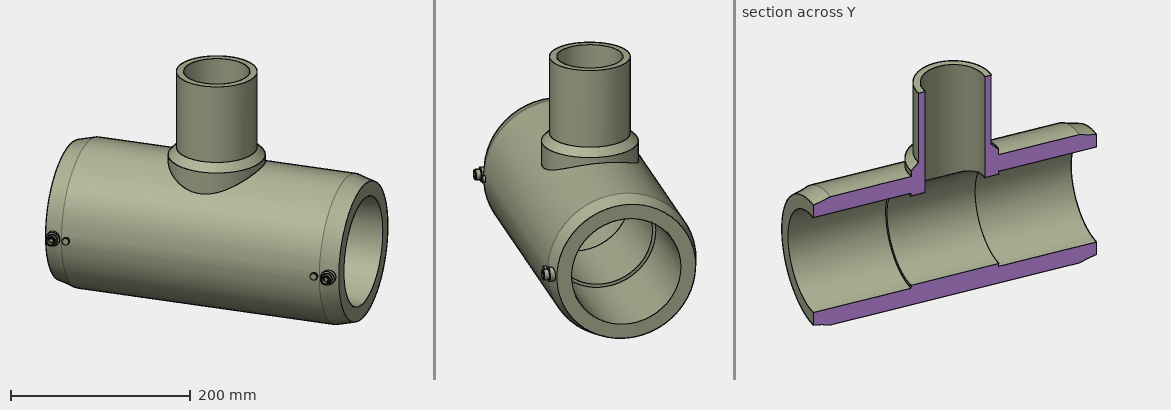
import cadquery as cq
import math

body_length = 347.5
body_diameter = 170.0
taper_length = 21.0
taper_angle = 15.0
socket_diameter = 125.0
bore_diameter = 117.5

branch_top = 192.0
branch_diameter = 90.0
branch_bore_diameter = 73.6
collar_diameter = 108.0
collar_top = 101.0

terminal_end_distance = 11.0
terminal_base_diameter = 16.0
terminal_base_face = 86.0
terminal_neck_diameter = 11.0
terminal_neck_height = 0.6
terminal_diameter = 12.0
terminal_face = 93.1
terminal_chamfer = 1.0
terminal_hole_diameter = 8.0
terminal_hole_depth = 5.0
terminal_pin_diameter = 5.0
terminal_pin_recess = 2.5

indicator_x = 147.0
indicator_diameter = 8.0
indicator_face = 88.0

half_length = body_length / 2
body_radius = body_diameter / 2
end_radius = body_radius - taper_length * math.tan(math.radians(taper_angle))
socket_depth = (body_length - collar_diameter) / 2
collar_chamfer = (collar_diameter - branch_diameter) / 2
terminal_x = half_length - terminal_end_distance
root_radius = (body_diameter + socket_diameter) / 4


def x_cylinder(diameter, x_start, x_end):
    return cq.Workplane("YZ", origin=(x_start, 0, 0)).circle(diameter / 2).extrude(x_end - x_start)


def z_cylinder(diameter, z_end):
    return cq.Workplane("XY").circle(diameter / 2).extrude(z_end)


def side_cylinder(x, diameter, start, end):
    """Cylinder pointing to -Y, from one distance off the pipe axis to another."""
    return cq.Workplane("XZ", origin=(x, -start, 0)).circle(diameter / 2).extrude(end - start)


def make_body():
    """Solid round body with both ends tapered."""
    profile = [
        (-half_length, 0),
        (-half_length, end_radius),
        (-half_length + taper_length, body_radius),
        (half_length - taper_length, body_radius),
        (half_length, end_radius),
        (half_length, 0),
    ]
    return cq.Workplane("XY").polyline(profile).close().revolve(360, (0, 0, 0), (1, 0, 0))


def make_branch():
    """Solid branch pipe with a chamfered collar at its foot."""
    collar = z_cylinder(collar_diameter, collar_top).faces(">Z").chamfer(collar_chamfer)
    return z_cylinder(branch_diameter, branch_top).union(collar)


def cut_bores(part):
    """Through bore, a wider socket at each end, and the branch bore."""
    part = part.cut(x_cylinder(bore_diameter, -half_length, half_length))
    part = part.cut(x_cylinder(socket_diameter, -half_length, -half_length + socket_depth))
    part = part.cut(x_cylinder(socket_diameter, half_length - socket_depth, half_length))
    return part.cut(z_cylinder(branch_bore_diameter, branch_top))


def make_terminal(x):
    """Base, narrow neck and hollow barrel with a contact pin inside."""
    barrel_start = terminal_base_face + terminal_neck_height
    hole_floor = terminal_face - terminal_hole_depth
    pin_face = terminal_face - terminal_pin_recess
    base = side_cylinder(x, terminal_base_diameter, root_radius, terminal_base_face)
    neck = side_cylinder(x, terminal_neck_diameter, root_radius, barrel_start)
    barrel = side_cylinder(x, terminal_diameter, barrel_start, terminal_face)
    barrel = barrel.faces("<Y").chamfer(terminal_chamfer)
    hole = side_cylinder(x, terminal_hole_diameter, hole_floor, terminal_face)
    pin = side_cylinder(x, terminal_pin_diameter, root_radius, pin_face)
    return base.union(neck).union(barrel).cut(hole).union(pin)


def make_indicator(x):
    return side_cylinder(x, indicator_diameter, root_radius, indicator_face)


result = cut_bores(make_body().union(make_branch()))
for side in (-1, 1):
    result = result.union(make_terminal(side * terminal_x))
    result = result.union(make_indicator(side * indicator_x))